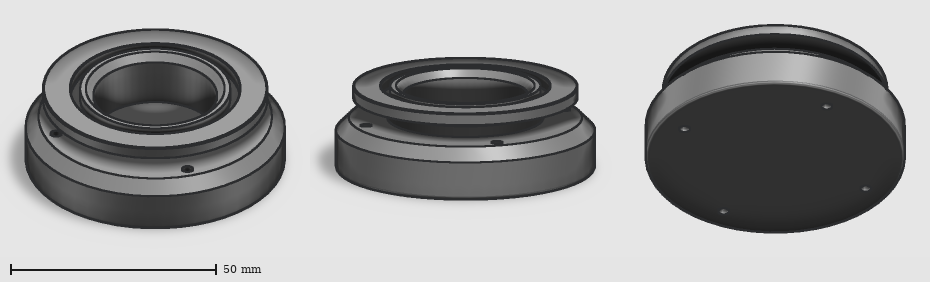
import cadquery as cq

base_diameter = 63.25
base_height = 12.7
base_top_chamfer = 3.15
base_bottom_fillet = 0.8

total_height = 20.75
neck_diameter = 38.1
flange_diameter = 54.8
flange_rim_height = 2.9
flange_cone_height = 2.2
flange_cone_small_diameter = 40.0
flange_edge_chamfer = 0.25

groove_outer_diameter = 41.6
groove_inner_diameter = 36.6
groove_depth = 3.0
groove_edge_chamfer = 0.1

bore_diameter = 30.2
bore_depth = 13.35
bore_mouth_diameter = 33.85
bore_mouth_depth = 1.95

hole_diameter = 2.65
hole_circle_diameter = 50.8
hole_count = 4

base_radius = base_diameter / 2
flange_radius = flange_diameter / 2
groove_outer_radius = groove_outer_diameter / 2
bore_radius = bore_diameter / 2
flange_rim_bottom = total_height - flange_rim_height
flange_bottom = flange_rim_bottom - flange_cone_height
groove_floor = total_height - groove_depth
bore_floor = total_height - bore_depth


def revolve_profile(points):
    """Turn a closed (radius, height) outline about the Z axis."""
    return cq.Workplane("XZ").polyline(points).close().revolve(360, (0, 0, 0), (0, 1, 0))


def make_body():
    """Base disc, neck and dovetail flange as one turned solid, rounded at the foot."""
    turned = revolve_profile([
        (0, 0),
        (base_radius, 0),
        (base_radius, base_height - base_top_chamfer),
        (base_radius - base_top_chamfer, base_height),
        (neck_diameter / 2, base_height),
        (neck_diameter / 2, flange_bottom),
        (flange_cone_small_diameter / 2, flange_bottom),
        (flange_radius, flange_rim_bottom),
        (flange_radius, total_height - flange_edge_chamfer),
        (flange_radius - flange_edge_chamfer, total_height),
        (0, total_height),
    ])
    return turned.faces("<Z").edges().fillet(base_bottom_fillet)


def make_groove():
    """Ring-shaped cutter, slightly flared at its outer top edge."""
    return revolve_profile([
        (groove_inner_diameter / 2, groove_floor),
        (groove_outer_radius - groove_edge_chamfer, groove_floor),
        (groove_outer_radius - groove_edge_chamfer, total_height - groove_edge_chamfer),
        (groove_outer_radius, total_height),
        (groove_inner_diameter / 2, total_height),
    ])


def make_bore():
    """Flat-bottomed bore cutter with a conical mouth."""
    return revolve_profile([
        (0, bore_floor),
        (bore_radius, bore_floor),
        (bore_radius, total_height - bore_mouth_depth),
        (bore_mouth_diameter / 2, total_height),
        (0, total_height),
    ])


def make_holes():
    """Evenly spaced cutters, only as tall as the base."""
    return (
        cq.Workplane("XY")
        .polarArray(hole_circle_diameter / 2, 0, 360, hole_count)
        .circle(hole_diameter / 2)
        .extrude(base_height)
    )


result = make_body().cut(make_groove()).cut(make_bore()).cut(make_holes())